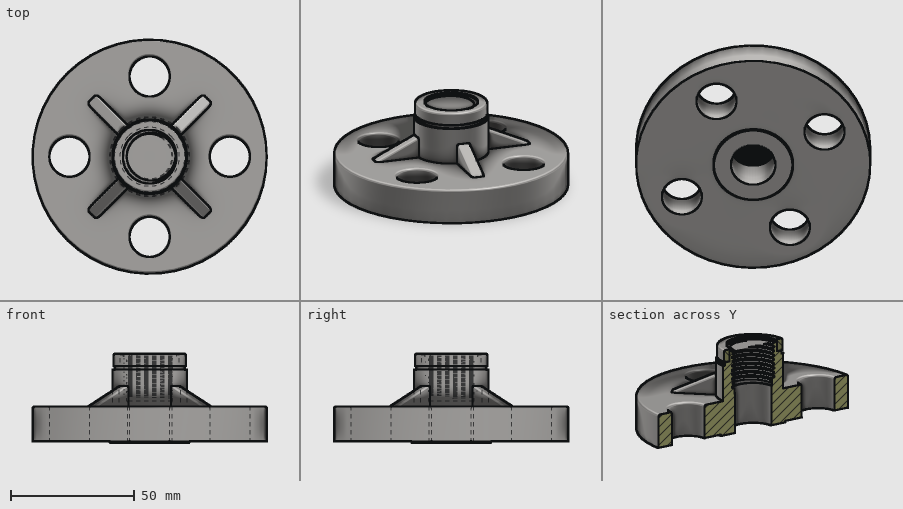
import cadquery as cq
import math

flange_diameter = 95.0
flange_bottom = 0.6
flange_top = 14.8
flange_edge_radius = 1.0
face_diameter = 32.4
face_chamfer = 0.3

bolt_circle_diameter = 65.0
bolt_hole_diameter = 16.2
bolt_hole_count = 4

socket_diameter = 30.3
socket_top = 29.7
groove_diameter = 28.5
ring_seat = 31.1
neck_diameter = 24.0

ring_top = 36.2
ring_diameter = 29.5
ring_edge_radius = 1.0
lip_diameter = 21.8
lip_thickness = 0.7
neck_top = ring_top - lip_thickness

bore_diameter = 18.0
thread_minor_diameter = 18.6
thread_major_diameter = 20.95
thread_pitch = 1.814
thread_angle = 60.0
thread_turns = 10
thread_start_angle = 5.0
thread_length = thread_turns * thread_pitch

dish_radius = (lip_diameter - thread_major_diameter) / 2
dish_floor = neck_top - dish_radius
thread_bottom = dish_floor - thread_length

rib_count = 4
rib_width = 5.5
rib_edge_radius = 1.0
rib_tip_radius = 33.2
rib_top = 23.1


def cylinder(diameter, bottom, top):
    """Upright cylinder on the part axis between two heights."""
    return cq.Workplane("XY").workplane(offset=bottom).circle(diameter / 2).extrude(top - bottom)


def make_flange():
    """Flange disc with bolt holes, rounded upper rims and a raised sealing face."""
    disc = cylinder(flange_diameter, flange_bottom, flange_top)
    holes = (
        cq.Workplane("XY")
        .workplane(offset=flange_bottom)
        .polarArray(bolt_circle_diameter / 2, 0, 360, bolt_hole_count)
        .circle(bolt_hole_diameter / 2)
        .extrude(flange_top - flange_bottom)
    )
    disc = disc.cut(holes).faces(">Z").edges().fillet(flange_edge_radius)
    face = cylinder(face_diameter, 0, flange_bottom).faces("<Z").edges().chamfer(face_chamfer)
    return disc.union(face)


def make_rib():
    """Sloping rib along +X, from the part axis out to its tip on the flange."""
    slope = (rib_top - flange_top) / (rib_tip_radius - socket_diameter / 2)
    height_on_axis = flange_top + slope * rib_tip_radius
    profile = [(0, flange_top), (rib_tip_radius, flange_top), (0, height_on_axis)]
    rib = cq.Workplane("XZ").polyline(profile).close().extrude(rib_width / 2, both=True)
    slope_direction = cq.Vector(1, 0, -slope)
    rib = rib.edges(cq.selectors.ParallelDirSelector(slope_direction)).fillet(rib_edge_radius)
    envelope = cylinder(2 * rib_tip_radius, flange_top, rib_top)
    return rib.intersect(envelope)


def make_socket():
    """Socket with the reduced groove and the neck that enters the ring."""
    socket = cylinder(socket_diameter, flange_top, socket_top)
    socket = socket.union(cylinder(groove_diameter, socket_top, ring_seat))
    return socket.union(cylinder(neck_diameter, ring_seat, neck_top))


def make_bore():
    """Tool that removes the bore, the thread core and the rounded dish."""
    arc_offset = dish_radius * math.sqrt(0.5)
    dish_edge = thread_major_diameter / 2
    return (
        cq.Workplane("XZ")
        .moveTo(0, 0)
        .lineTo(bore_diameter / 2, 0)
        .lineTo(bore_diameter / 2, thread_bottom)
        .lineTo(thread_minor_diameter / 2, thread_bottom)
        .lineTo(thread_minor_diameter / 2, dish_floor)
        .lineTo(dish_edge, dish_floor)
        .threePointArc(
            (dish_edge + arc_offset, neck_top - arc_offset),
            (lip_diameter / 2, neck_top),
        )
        .lineTo(0, neck_top)
        .close()
        .revolve(360, (0, 0), (0, 1))
    )


def make_thread_groove():
    """Right-handed V-shaped helical groove, running out through the dish floor."""
    root_inset = 0.1
    inner = thread_minor_diameter / 2 - root_inset
    outer = thread_major_diameter / 2
    half_width = (outer - inner) * math.tan(math.radians(thread_angle / 2))
    path = cq.Wire.makeHelix(thread_pitch, thread_turns * thread_pitch, inner)
    groove = (
        cq.Workplane("XZ")
        .polyline([(inner, -half_width), (outer, 0), (inner, half_width)])
        .close()
        .sweep(cq.Workplane(obj=path), isFrenet=True)
    )
    groove_start = thread_bottom + thread_pitch
    groove = groove.rotate((0, 0, 0), (0, 0, 1), thread_start_angle).translate((0, 0, groove_start))
    return groove.cut(cylinder(neck_diameter, dish_floor, ring_top + thread_pitch))


def make_housing():
    """Flange, socket and ribs as one solid with its threaded bore."""
    housing = make_flange().union(make_socket())
    for index in range(rib_count):
        angle = (index + 0.5) * 360 / rib_count
        housing = housing.union(make_rib().rotate((0, 0, 0), (0, 0, 1), angle))
    housing = housing.cut(make_bore())
    return housing.cut(make_thread_groove())


def make_ring():
    """Cap ring with a rounded top rim, bored for the neck below its lip."""
    ring = cylinder(ring_diameter, ring_seat, ring_top).faces(">Z").edges().fillet(ring_edge_radius)
    ring = ring.cut(cylinder(neck_diameter, ring_seat, neck_top))
    return ring.cut(cylinder(lip_diameter, neck_top, ring_top))


housing = make_housing()
ring = make_ring()
result = cq.Compound.makeCompound([housing.val(), ring.val()])